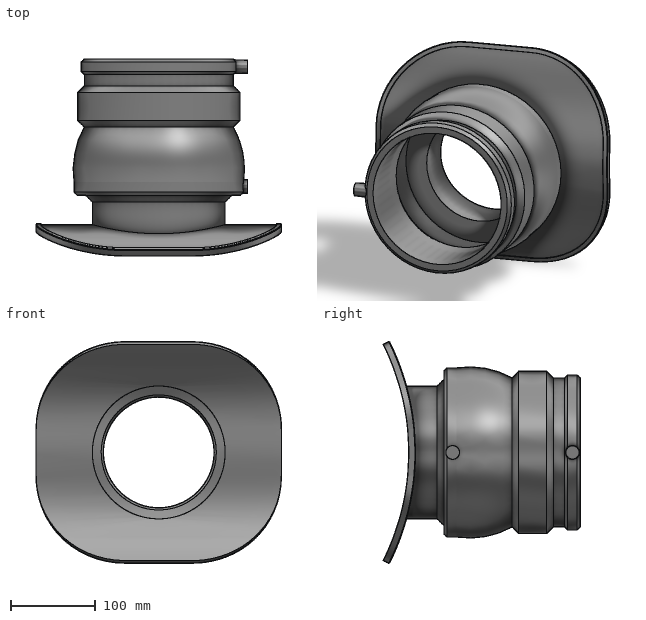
import cadquery as cq
import math


saddle_length = 290.0
saddle_bend_angle = math.radians(26.6)
saddle_inner_radius = 285.0
saddle_thickness = 8.0
saddle_outer_radius = saddle_inner_radius + saddle_thickness
corner_radius = 105.3
half_width_flat = saddle_inner_radius * saddle_bend_angle
bend_axis_y = -saddle_inner_radius * math.cos(saddle_bend_angle)
corner_curve_points = 9
rim_width = 5.8
recess_depth = 1.2
rim_chamfer = 1.0
radial_margin = 43.5
blank_length = 1.2 * saddle_length

pipe_radius = 157.0 / 2
bore_radius = 130.5 / 2
mouth_radius = 136.0 / 2
mouth_chamfer = mouth_radius - bore_radius
ball_radius = 101.2
ball_center_y = 102.5
band_radius = 100.0
neck_radius = 176.0 / 2
collar_radius = 192.0 / 2
flange_radius = 91.5
socket_bore_radius = 160.0 / 2
shell_thickness = neck_radius - socket_bore_radius

cone_start_y = 63.8
cone_end_y = 71.5
band_start_y = 75.5
cavity_floor_y = 83.2
collar_start_y = 160.0
collar_end_y = 193.0
flange_start_y = 217.8
flange_end_y = 229.0
back_y = 233.0

cone_end_radius = pipe_radius + (cone_end_y - cone_start_y)
band_chamfer = band_start_y - cone_end_y
collar_chamfer = collar_radius - neck_radius
flange_chamfer = back_y - flange_end_y
flange_groove_step = flange_radius - neck_radius

nipple_tip_x = 105.0
nipple_root_x = 84.0
flange_nipple_y = 223.5
band_nipple_y = 82.0
flange_nipple_root_radius = 8.5
flange_nipple_tip_radius = 7.8
band_nipple_radius = 8.0


def cylinder_along_y(radius, start_y, end_y):
    """Solid cylinder on the common axis."""
    return cq.Workplane(
        cq.Solid.makeCylinder(radius, end_y - start_y, cq.Vector(0, start_y, 0), cq.Vector(0, 1, 0))
    )


def cylinder_along_x(radius):
    """Solid cylinder on the saddle's bend axis, longer than the saddle."""
    return cq.Workplane(
        cq.Solid.makeCylinder(
            radius, blank_length, cq.Vector(-blank_length / 2, bend_axis_y, 0), cq.Vector(1, 0, 0)
        )
    )


def rim_section(distance, inset):
    """Saddle outline, moved inward by inset and projected from the bend axis onto one XZ plane."""
    straight_x = saddle_length / 2 - corner_radius
    straight_z = half_width_flat - corner_radius
    inset_radius = corner_radius - inset

    def corner_point(side_x, side_z, angle):
        x = straight_x + inset_radius * math.cos(angle)
        arc = straight_z + inset_radius * math.sin(angle)
        z = distance * math.tan(arc / saddle_inner_radius)
        return cq.Vector(side_x * x, bend_axis_y + distance, side_z * z)

    corners = []
    for side_x, side_z, rising in [(1, 1, True), (-1, 1, False), (-1, -1, True), (1, -1, False)]:
        angles = [math.pi / 2 * i / (corner_curve_points - 1) for i in range(corner_curve_points)]
        if not rising:
            angles.reverse()
        corners.append([corner_point(side_x, side_z, angle) for angle in angles])

    edges = []
    for i, corner in enumerate(corners):
        next_corner = corners[(i + 1) % len(corners)]
        edges.append(cq.Edge.makeSpline(corner))
        edges.append(cq.Edge.makeLine(corner[-1], next_corner[0]))
    return cq.Wire.assembleEdges(edges)


def rim_wedge(inset):
    """Wedge of lines from the bend axis through the saddle outline, moved inward by inset."""
    near_section = rim_section(saddle_inner_radius - radial_margin, inset)
    far_section = rim_section(saddle_outer_radius + radial_margin, inset)
    return cq.Workplane(cq.Solid.makeLoft([near_section, far_section], True))


def bent_sheet(inner_radius, outer_radius, inset):
    """Sheet between two radii about the bend axis, with rim faces square to its surface."""
    tube = cylinder_along_x(outer_radius).cut(cylinder_along_x(inner_radius))
    return tube.intersect(rim_wedge(inset))


def make_saddle():
    """Bent sheet with a raised, chamfered border on its convex face and a hole for the pipe."""
    sheet = bent_sheet(saddle_inner_radius, saddle_outer_radius, 0)
    sheet = sheet.faces("%CYLINDER").faces(">Y").chamfer(rim_chamfer)
    recess = bent_sheet(saddle_outer_radius - recess_depth, saddle_outer_radius + radial_margin / 2, rim_width)
    return sheet.cut(recess).cut(cylinder_along_y(pipe_radius, 0, cone_start_y))


def fitting_outside():
    """Turned outer shape, from the pipe end to the flange."""
    ball_start_y = ball_center_y - math.sqrt(ball_radius**2 - band_radius**2)
    ball_end_y = ball_center_y + math.sqrt(ball_radius**2 - neck_radius**2)
    return (
        cq.Workplane("XY")
        .moveTo(0, 0)
        .lineTo(pipe_radius, 0)
        .lineTo(pipe_radius, cone_start_y)
        .lineTo(cone_end_radius, cone_end_y)
        .lineTo(band_radius - band_chamfer, cone_end_y)
        .lineTo(band_radius, band_start_y)
        .lineTo(band_radius, ball_start_y)
        .threePointArc((ball_radius, ball_center_y), (neck_radius, ball_end_y))
        .lineTo(collar_radius, collar_start_y)
        .lineTo(collar_radius, collar_end_y)
        .lineTo(neck_radius, collar_end_y + collar_chamfer)
        .lineTo(neck_radius, flange_start_y - flange_groove_step)
        .lineTo(flange_radius, flange_start_y)
        .lineTo(flange_radius, flange_end_y)
        .lineTo(flange_radius - flange_chamfer, back_y)
        .lineTo(0, back_y)
        .close()
        .revolve(360, (0, 0, 0), (0, 1, 0))
    )


def fitting_cavity():
    """Front bore, ball-shaped chamber and rear socket bore as one turned shape."""
    chamber_radius = ball_radius - shell_thickness
    floor_radius = math.sqrt(chamber_radius**2 - (ball_center_y - cavity_floor_y)**2)
    chamber_end_y = ball_center_y + math.sqrt(chamber_radius**2 - socket_bore_radius**2)
    return (
        cq.Workplane("XY")
        .moveTo(0, 0)
        .lineTo(bore_radius, 0)
        .lineTo(bore_radius, cavity_floor_y)
        .lineTo(floor_radius, cavity_floor_y)
        .threePointArc((chamber_radius, ball_center_y), (socket_bore_radius, chamber_end_y))
        .lineTo(socket_bore_radius, back_y)
        .lineTo(0, back_y)
        .close()
        .revolve(360, (0, 0, 0), (0, 1, 0))
    )


def make_nipple(center_y, root_radius, tip_radius):
    """Round stub that points along +X."""
    return (
        cq.Workplane("YZ", origin=(nipple_root_x, center_y, 0))
        .circle(root_radius)
        .workplane(offset=nipple_tip_x - nipple_root_x)
        .circle(tip_radius)
        .loft()
    )


def make_fitting():
    """Hollow fitting whose pipe end is flush with the concave face of the saddle."""
    body = fitting_outside()
    body = body.union(make_nipple(flange_nipple_y, flange_nipple_root_radius, flange_nipple_tip_radius))
    body = body.union(make_nipple(band_nipple_y, band_nipple_radius, band_nipple_radius))
    body = body.cut(fitting_cavity())
    body = body.cut(cylinder_along_x(saddle_inner_radius))
    mouth_edge = cq.selectors.BoxSelector(
        (-mouth_radius, 0, -mouth_radius), (mouth_radius, cone_start_y, mouth_radius), boundingbox=True
    )
    return body.edges(mouth_edge).chamfer(mouth_chamfer)


saddle = make_saddle()
fitting = make_fitting()

result = cq.Compound.makeCompound([saddle.val(), fitting.val()])